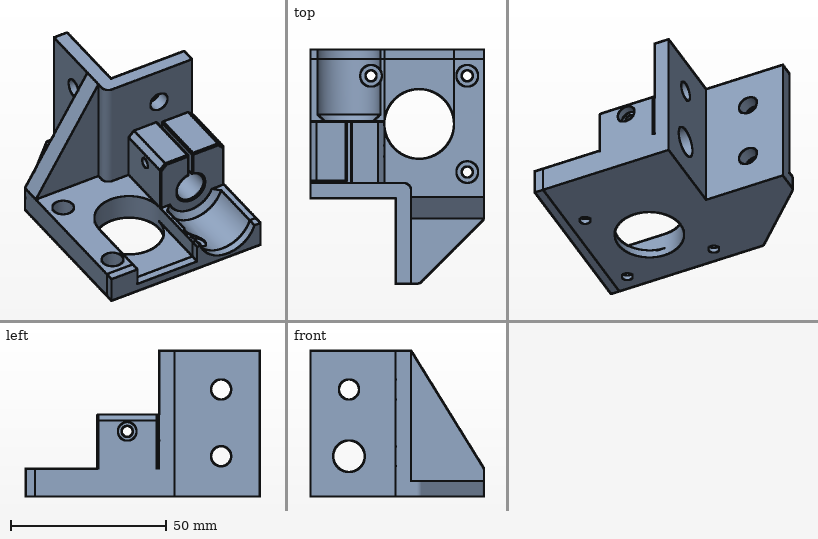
import cadquery as cq
total_width = 56.0
total_length = 75.5
total_height = 47.0

wall_thickness = 5.0
wall_inner_width = 27.5
wall_inner_y = 27.5
wall_outer_x = wall_inner_width + wall_thickness
wall_back_y = wall_inner_y + wall_thickness
wall_corner_radius = 2.5

mount_hole_diameter = 6.4
mount_hole_y = 12.5
upper_hole_z = 34.5

base_height = 9.0
toe_height = 5.0
toe_corner_radius = 2.0
toe_corner_y = 20.8
gusset_front_y = 21.1
gusset_thickness = 6.9
toe_tip_x = total_width - toe_corner_y
end_bar_length = 3.0
plate_end_y = total_length - end_bar_length

motor_x = 35.05
motor_y = 51.5
motor_hole_diameter = 22.4
motor_screw_spacing = 31.0
motor_screw_diameter = 3.5
motor_screw_head_diameter = 7.0
motor_screw_head_floor_z = 2.0
motor_slot_floor_z = 3.0

bore_x = 12.45
bore_z = 13.0
bore_diameter = 10.1
trough_z = 12.2
trough_diameter = 21.2
trough_taper = 2.1

clamp_width = motor_x - motor_hole_diameter / 2
clamp_end_y = 52.45
clamp_top_z = 26.5
clamp_shoulder = 2.0
clamp_slit = 1.3
clamp_gap = 0.4
clamp_edge_break = 0.4
clamp_screw_diameter = 3.5
clamp_screw_head_diameter = 6.0
clamp_screw_head_depth = 3.0
clamp_screw_y = 42.75
clamp_screw_z = 21.0


def box(x0, x1, y0, y1, z0, z1):
    """Block between two opposite corners."""
    return cq.Workplane("XY").box(x1 - x0, y1 - y0, z1 - z0, centered=False).translate((x0, y0, z0))


def rod(diameter, start, direction, length):
    """Cylinder from a start point along a direction."""
    return cq.Workplane(cq.Solid.makeCylinder(diameter / 2, length, cq.Vector(start), cq.Vector(direction)))


def make_wall():
    wall = (
        cq.Workplane("XY")
        .moveTo(0, wall_inner_y)
        .lineTo(wall_inner_width, wall_inner_y)
        .lineTo(wall_inner_width, 0)
        .lineTo(wall_outer_x, 0)
        .lineTo(wall_outer_x, wall_back_y)
        .lineTo(0, wall_back_y)
        .close()
        .extrude(total_height)
    )
    outer_corner = cq.selectors.NearestToPointSelector((wall_outer_x, wall_back_y, total_height / 2))
    return wall.edges(outer_corner).fillet(wall_corner_radius)


def make_base():
    """Plate behind the wall, whose lowest layer runs forward as a triangular toe beside the wall."""
    left_part = box(0, wall_outer_x, wall_inner_y, plate_end_y, 0, base_height)
    right_part = box(wall_inner_width, total_width, gusset_front_y, plate_end_y, toe_height, base_height)
    toe_layer = (
        cq.Workplane("XY")
        .moveTo(wall_inner_width, 0)
        .lineTo(toe_tip_x, 0)
        .lineTo(total_width, toe_corner_y)
        .lineTo(total_width, plate_end_y)
        .lineTo(wall_inner_width, plate_end_y)
        .close()
        .extrude(toe_height)
    )
    for corner in ((toe_tip_x, 0), (total_width, toe_corner_y)):
        edge = cq.selectors.NearestToPointSelector((*corner, toe_height / 2))
        toe_layer = toe_layer.edges(edge).fillet(toe_corner_radius)
    return left_part.union(right_part).union(toe_layer)


def make_gusset():
    """Rib that slopes from the top of the wall to the edge of the base."""
    return (
        cq.Workplane("XZ", origin=(0, gusset_front_y, 0))
        .moveTo(wall_inner_width, toe_height)
        .lineTo(total_width, toe_height)
        .lineTo(total_width, base_height)
        .lineTo(wall_outer_x, total_height)
        .lineTo(wall_inner_width, total_height)
        .close()
        .extrude(-gusset_thickness)
    )


def make_clamp_jaw(outer_x, slit_x, start_y):
    """Half of the clamp block, with a sloped outer shoulder and a broken slit edge."""
    outward = 1 if outer_x > slit_x else -1
    jaw = (
        cq.Workplane("XZ", origin=(0, start_y, 0))
        .moveTo(slit_x, base_height)
        .lineTo(outer_x, base_height)
        .lineTo(outer_x, clamp_top_z - clamp_shoulder)
        .lineTo(outer_x - outward * clamp_shoulder, clamp_top_z)
        .lineTo(slit_x + outward * clamp_edge_break, clamp_top_z)
        .lineTo(slit_x, clamp_top_z - clamp_edge_break)
        .close()
        .extrude(start_y - clamp_end_y)
    )
    return jaw.faces(">Y").edges("not(<Z)").chamfer(clamp_edge_break)


def make_moving_jaw():
    """Jaw on the open side, kept clear of the wall by a narrow gap."""
    jaw = make_clamp_jaw(0, bore_x - clamp_slit / 2, wall_back_y + clamp_gap)
    return jaw.faces("<Y").edges("not(<Z)").chamfer(clamp_edge_break)


def make_fixed_jaw():
    """Jaw that joins the wall."""
    return make_clamp_jaw(clamp_width, bore_x + clamp_slit / 2, wall_back_y)


def turned(profile, z):
    """Solid turned about the line along Y at the bore's X and a given height; points are (radius, y)."""
    outline = cq.Workplane("XY").polyline(profile).close()
    return outline.revolve(360, (0, 0, 0), (0, 1, 0)).translate((bore_x, 0, z))


def make_bore():
    """Bore through the wall and clamp, with its clamp end broken."""
    radius = bore_diameter / 2
    profile = (
        (0, wall_inner_y),
        (radius, wall_inner_y),
        (radius, clamp_end_y - clamp_edge_break),
        (radius + clamp_edge_break, clamp_end_y),
        (0, clamp_end_y),
    )
    return turned(profile, bore_z)


def make_trough():
    """Round channel from the clamp to the end of the base, tapered where it meets the clamp."""
    radius = trough_diameter / 2
    profile = (
        (0, clamp_end_y),
        (radius - trough_taper, clamp_end_y),
        (radius, clamp_end_y + trough_taper),
        (radius, total_length),
        (0, total_length),
    )
    return turned(profile, trough_z)


def make_motor_slot():
    """Round-ended recess that runs from the motor hole out through the end of the base."""
    radius = motor_hole_diameter / 2
    depth = base_height - motor_slot_floor_z
    channel = box(motor_x - radius, motor_x + radius, motor_y, total_length, motor_slot_floor_z, base_height)
    return rod(motor_hole_diameter, (motor_x, motor_y, motor_slot_floor_z), (0, 0, 1), depth).union(channel)


def make_motor_holes():
    """Centre hole and the three counterbored screw holes that lie clear of the clamp."""
    up = (0, 0, 1)
    holes = rod(motor_hole_diameter, (motor_x, motor_y, 0), up, base_height)
    half = motor_screw_spacing / 2
    for side_x, side_y in ((-1, 1), (1, 1), (1, -1)):
        x = motor_x + side_x * half
        y = motor_y + side_y * half
        holes = holes.union(rod(motor_screw_diameter, (x, y, 0), up, base_height))
        head_depth = base_height - motor_screw_head_floor_z
        holes = holes.union(rod(motor_screw_head_diameter, (x, y, motor_screw_head_floor_z), up, head_depth))
    return holes


def make_wall_holes():
    """Mounting holes: one above the bore and two in the other leg of the wall."""
    holes = rod(mount_hole_diameter, (bore_x, wall_inner_y, upper_hole_z), (0, 1, 0), wall_thickness)
    for z in (bore_z, upper_hole_z):
        start = (wall_inner_width, mount_hole_y, z)
        holes = holes.union(rod(mount_hole_diameter, start, (1, 0, 0), wall_thickness))
    return holes


def make_clamp_screw_hole():
    start = (0, clamp_screw_y, clamp_screw_z)
    hole = rod(clamp_screw_diameter, start, (1, 0, 0), clamp_width)
    return hole.union(rod(clamp_screw_head_diameter, start, (1, 0, 0), clamp_screw_head_depth))


def make_bracket():
    bracket = make_base().union(make_wall()).union(make_gusset())
    bracket = bracket.union(make_moving_jaw()).union(make_fixed_jaw())
    for cutter in (
        make_bore(),
        make_trough(),
        make_motor_slot(),
        make_motor_holes(),
        make_wall_holes(),
        make_clamp_screw_hole(),
    ):
        bracket = bracket.cut(cutter)
    return bracket


def make_end_bar():
    """Bar that closes the end of the base and continues its trough and motor slot."""
    bar = box(0, total_width, plate_end_y, total_length, 0, base_height)
    return bar.cut(make_trough()).cut(make_motor_slot())


bracket = make_bracket()
end_bar = make_end_bar()
result = cq.Compound.makeCompound([bracket.val(), end_bar.val()])